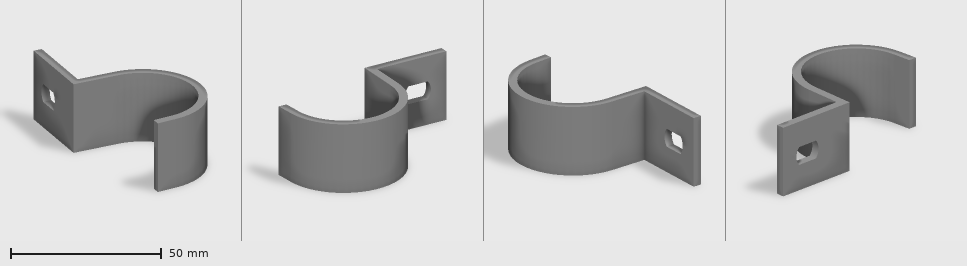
import cadquery as cq
import math

overall_length = 70.5
overall_depth = 38.0
strap_width = 25.0
thickness = 3.0

outer_radius = 21.5
inner_radius = outer_radius - thickness
lip_tilt = math.radians(4.5)
lip_drop = 5.3

slot_length = 10.0
slot_height = 6.5
slot_center_offset = 11.0

foot_bottom = outer_radius - overall_depth
foot_top = foot_bottom + thickness


def lip_end_x(radius):
    """X where the lip face tangent to the arc of this radius reaches the lip end."""
    return radius / math.cos(lip_tilt) + lip_drop * math.tan(lip_tilt)


def lip_start(radius):
    """Point where the arc of this radius meets its tangent lip face."""
    return (radius * math.cos(lip_tilt), radius * math.sin(lip_tilt))


foot_end_x = lip_end_x(outer_radius) - overall_length


def make_strap():
    """Constant-thickness strap: foot, upright leg, saddle arc and flared lip."""
    return (
        cq.Workplane("XY")
        .moveTo(foot_end_x, foot_bottom)
        .lineTo(-inner_radius, foot_bottom)
        .lineTo(-inner_radius, 0)
        .threePointArc((0, inner_radius), lip_start(inner_radius))
        .lineTo(lip_end_x(inner_radius), -lip_drop)
        .lineTo(lip_end_x(outer_radius), -lip_drop)
        .lineTo(*lip_start(outer_radius))
        .threePointArc((0, outer_radius), (-outer_radius, 0))
        .lineTo(-outer_radius, foot_top)
        .lineTo(foot_end_x, foot_top)
        .close()
        .extrude(strap_width)
    )


def make_slot_cutter():
    """Cylinder along Y, cut flat above and below, passing through the foot only."""
    slot_plane = cq.Workplane(
        "XZ", origin=(foot_end_x + slot_center_offset, foot_top, strap_width / 2)
    )
    round_hole = slot_plane.circle(slot_length / 2).extrude(thickness)
    flats = slot_plane.rect(slot_length, slot_height).extrude(thickness)
    return round_hole.intersect(flats)


result = make_strap().cut(make_slot_cutter())